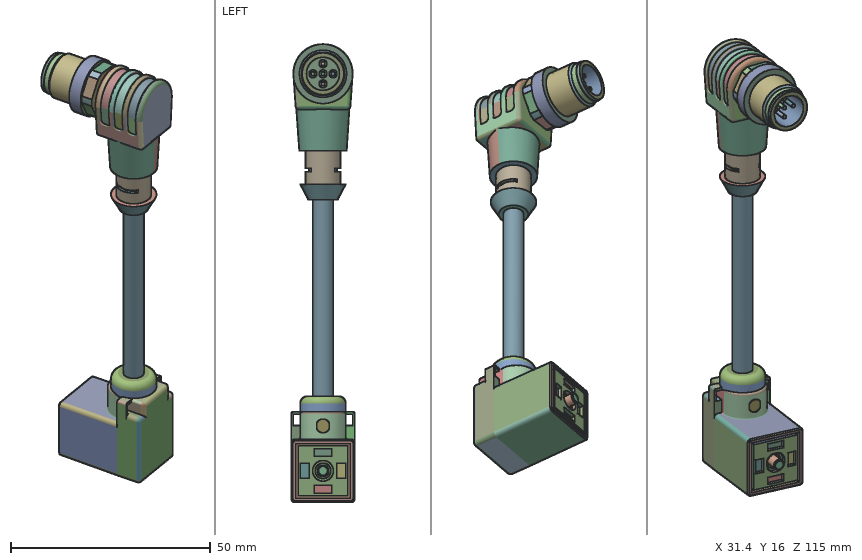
import cadquery as cq
import math


TOTAL_HEIGHT = 115
BACK_X = 7.0
CABLE_D = 5.2
OVERLAP = 1.2

BLOCK_FRONT_X = -17.5
PARTING_X = 0.2
BLOCK_WIDTH = 16.0
BLOCK_HEIGHT = 15.9
SHELL_HEIGHT = 22.8
DRAFT = 0.2
EDGE_R = 1.0
TOP_EDGE_R = 0.6
FACE_EDGE = 0.3
FACE_SIZE = 12.5
SEAL_SIZE = 13.7
SEAL_DEPTH = 1.2
FACE_Z = 7.9

BLADE_OFFSET = 4.6
BLADE_Z_SIZE = (4.5, 2.0)
BLADE_Y_SIZE = (2.2, 3.8)
BLADE_DEPTH = 1.0

SCREW_D = 2.9
SCREW_TIP_D = 2.3
SCREW_TIP_X = -19.3
SCREW_BORE_D = 3.9
SCREW_BORE_DEPTH = 3.5
SCREW_SINK_D = 5.2
SCREW_SINK_DEPTH = 1.2

NOTCH_X = 3.0
NOTCH_FLOOR_Z = 19.3
WINDOW_TOP_Z = 22.1
WINDOW_WALL = 0.6

NECK_D = 11.5
NECK_X = -0.9
NECK_FOOT_R = 0.3
NECK_MARK_D = 3.5
NECK_MARK_Z = 19.2
NECK_MARK_DEPTH = 0.2
CAP_D = 11.5
CAP_TOP_Z = 26.7
CAP_R = 1.8

COLLAR_BOTTOM_Z = 75.9
COLLAR_TOP_Z = 79.8
COLLAR_BOTTOM_D = 7.4
COLLAR_TOP_D = 11.5
STEM_D = 8.9
STEM_CORE_D = 7.1
GRIP_BOTTOM_Z = 88.2
GRIP_BOTTOM_D = 12.0
GRIP_TOP_WIDTH_X = 13.0
GRIP_TOP_WIDTH_Y = 13.6
STEM_SLOT_Z = 83.4
STEM_SLOT_HEIGHT = 0.8
STEM_SLOT_WIDTH = 6.7

HOUSING_R = 7.5
PLUG_Z = TOTAL_HEIGHT - HOUSING_R
HOUSING_FRONT_X = -BACK_X
HOUSING_BOTTOM_Z = 98.5
HOUSING_BOTTOM_WIDTH = 13.7
HOUSING_EDGE_R = 0.9
GROOVE_WIDTH = 2.6
GROOVE_PITCH = 4.0
GROOVE_DEPTH = 0.6
GROOVE_BOTTOM_Z = 102.7
GROOVE_CORNER_R = 0.9
GROOVE_LIP_R = 0.2

PLUG_TIP_X = -24.4
TIP_D = 10.5
TIP_END_X = -23.5
LIP_D = 10.8
LIP_END_X = -22.0
SLEEVE_D = 11.8
SLEEVE_START_X = -21.4
FLANGE_START_X = -14.5
FLANGE_D = 15
NUT_START_X = -11.0
NUT_END_X = -8
NUT_D = 14.0
NUT_FLATS = 13.0
NUT_TURN = 3
PLUG_NECK_D = 8.7
BORE_D = 8.3
BORE_DEPTH = 9.2
PIN_D = 1.0
PIN_SLEEVE_D = 2.0
PIN_SLEEVE_LENGTH = 0.6
PIN_CIRCLE_R = 2.5
PIN_LENGTH = 6.9


def box(x0, x1, y0, y1, z0, z1):
    return cq.Workplane("XY").box(x1 - x0, y1 - y0, z1 - z0, centered=False).translate((x0, y0, z0))


def cylinder_x(diameter, x0, x1, y=0.0, z=0.0):
    return cq.Workplane("YZ", origin=(x0, y, z)).circle(diameter / 2).extrude(x1 - x0)


def cylinder_z(diameter, z0, z1, x=0.0):
    return cq.Workplane("XY", origin=(x, 0, z0)).circle(diameter / 2).extrude(z1 - z0)


def drafted_prism(height, length):
    """Rectangle of the valve connector at the parting plane, drawn out along X and narrowing."""
    sketch = cq.Workplane("YZ", origin=(PARTING_X, 0, height / 2)).rect(BLOCK_WIDTH, height)
    return sketch.extrude(length, taper=DRAFT)


def valve_block():
    block = drafted_prism(BLOCK_HEIGHT, BLOCK_FRONT_X - PARTING_X)
    block = block.edges("not(<X or >X)").fillet(EDGE_R)
    return block.faces("<X").chamfer(FACE_EDGE)


def back_shell():
    shell = drafted_prism(SHELL_HEIGHT, BACK_X - PARTING_X)
    outer_y = BLOCK_WIDTH / 2
    inner_y = NECK_D / 2
    for side in (-1, 1):
        near, far = sorted((side * inner_y, side * (outer_y + OVERLAP)))
        shell = shell.cut(box(NOTCH_X, BACK_X + OVERLAP, near, far, NOTCH_FLOOR_Z, SHELL_HEIGHT + OVERLAP))
    upper_z = (NOTCH_FLOOR_Z + SHELL_HEIGHT) / 2
    outer_edges = shell.edges("not(#X)").filter(
        lambda edge: edge.Center().z < upper_z and abs(edge.Center().y) > inner_y + EDGE_R
    )
    shell = shell.newObject(outer_edges.vals()).fillet(EDGE_R)
    top_edges = shell.edges("not(#X)").filter(lambda edge: edge.Center().z > upper_z)
    shell = shell.newObject(top_edges.vals()).fillet(TOP_EDGE_R)
    shell = shell.faces(">X").edges().fillet(EDGE_R)
    for side in (-1, 1):
        near, far = sorted((side * inner_y, side * (outer_y - WINDOW_WALL)))
        window = box(PARTING_X - OVERLAP, NOTCH_X, near, far, NOTCH_FLOOR_Z, WINDOW_TOP_Z)
        shell = shell.cut(window)
    return shell


def valve_neck():
    base_z = BLOCK_HEIGHT / 2
    neck = cylinder_z(NECK_D, base_z, SHELL_HEIGHT, NECK_X)
    neck = neck.union(box(NECK_X, PARTING_X, -NECK_D / 2, NECK_D / 2, base_z, SHELL_HEIGHT))
    neck = neck.intersect(box(-CAP_D, PARTING_X, -CAP_D, CAP_D, base_z, SHELL_HEIGHT))
    neck = neck.faces(">Z").edges("not >X").fillet(TOP_EDGE_R)
    front_x = NECK_X - NECK_D / 2
    mark = cylinder_x(NECK_MARK_D, front_x - OVERLAP, front_x + NECK_MARK_DEPTH, 0, NECK_MARK_Z)
    cap = cylinder_z(CAP_D, base_z, CAP_TOP_Z).faces(">Z").edges().fillet(CAP_R)
    return neck.cut(mark).union(cap)


def valve_body():
    body = valve_block().union(back_shell()).union(valve_neck())
    foot = body.edges().filter(
        lambda edge: abs(edge.Center().z - BLOCK_HEIGHT) < NECK_FOOT_R
        and edge.BoundingBox().xmin > NECK_X - NECK_D / 2 - NECK_FOOT_R
        and abs(edge.Center().y) < NECK_D / 2 + NECK_FOOT_R
        and edge.Center().x < PARTING_X - NECK_FOOT_R
    )
    return body.newObject(foot.vals()).fillet(NECK_FOOT_R)


def cut_contact_face(body):
    """Square seal groove, four blade slots and the central screw in the front face."""
    face = cq.Workplane("YZ", origin=(BLOCK_FRONT_X, 0, FACE_Z))
    seal_groove = face.rect(SEAL_SIZE, SEAL_SIZE).rect(FACE_SIZE, FACE_SIZE).extrude(SEAL_DEPTH)
    body = body.cut(seal_groove)
    upright = face.pushPoints([(0, -BLADE_OFFSET), (0, BLADE_OFFSET)])
    body = body.cut(upright.rect(*BLADE_Z_SIZE).extrude(BLADE_DEPTH))
    sideways = face.pushPoints([(-BLADE_OFFSET, 0), (BLADE_OFFSET, 0)])
    body = body.cut(sideways.rect(*BLADE_Y_SIZE).extrude(BLADE_DEPTH))
    body = body.cut(face.circle(SCREW_SINK_D / 2).extrude(SCREW_SINK_DEPTH))
    body = body.cut(face.circle(SCREW_BORE_D / 2).extrude(SCREW_BORE_DEPTH))
    screw = cylinder_x(SCREW_D, SCREW_TIP_X, BLOCK_FRONT_X + SCREW_BORE_DEPTH, 0, FACE_Z)
    screw = screw.faces("<X").chamfer((SCREW_D - SCREW_TIP_D) / 2)
    return body.union(screw)


def strain_relief():
    collar = cq.Workplane("XY", origin=(0, 0, COLLAR_BOTTOM_Z)).circle(COLLAR_BOTTOM_D / 2)
    collar = collar.workplane(offset=COLLAR_TOP_Z - COLLAR_BOTTOM_Z).circle(COLLAR_TOP_D / 2).loft(ruled=True)
    stem = cylinder_z(STEM_D, COLLAR_TOP_Z, GRIP_BOTTOM_Z)
    half_width = STEM_SLOT_WIDTH / 2
    slot_floor_y = math.sqrt((STEM_D / 2) ** 2 - half_width ** 2)
    slot_bottom = STEM_SLOT_Z - STEM_SLOT_HEIGHT / 2
    slot_top = STEM_SLOT_Z + STEM_SLOT_HEIGHT / 2
    for near, far in ((-STEM_D, -slot_floor_y), (slot_floor_y, STEM_D)):
        stem = stem.cut(box(-half_width, half_width, near, far, slot_bottom, slot_top))
    core = cylinder_z(STEM_CORE_D, COLLAR_TOP_Z, GRIP_BOTTOM_Z)
    grip_height = HOUSING_BOTTOM_Z + HOUSING_EDGE_R - GRIP_BOTTOM_Z
    grip = cq.Workplane("XY", origin=(0, 0, GRIP_BOTTOM_Z)).circle(GRIP_BOTTOM_D / 2)
    grip = grip.workplane(offset=grip_height).ellipse(GRIP_TOP_WIDTH_X / 2, GRIP_TOP_WIDTH_Y / 2)
    grip = grip.loft(ruled=True)
    return collar.union(stem).union(core).union(grip)


def housing_prism(inset):
    """Round-topped housing section, shrunk by inset at its top and sides."""
    radius = HOUSING_R - inset
    foot_y = HOUSING_BOTTOM_WIDTH / 2 - inset
    sketch = cq.Workplane("YZ", origin=(HOUSING_FRONT_X, 0, 0)).moveTo(-foot_y, HOUSING_BOTTOM_Z)
    sketch = sketch.lineTo(foot_y, HOUSING_BOTTOM_Z).lineTo(radius, PLUG_Z)
    sketch = sketch.threePointArc((0, PLUG_Z + radius), (-radius, PLUG_Z)).close()
    return sketch.extrude(BACK_X - HOUSING_FRONT_X)


def plug_housing():
    housing = housing_prism(0).faces("<X or >X or <Z").edges().fillet(HOUSING_EDGE_R)
    core = housing_prism(GROOVE_DEPTH)
    half_width = GROOVE_WIDTH / 2
    for index in (-1, 0, 1):
        x = index * GROOVE_PITCH
        x0, x1 = x - half_width, x + half_width
        groove = box(x0, x1, -FLANGE_D, FLANGE_D, GROOVE_BOTTOM_Z, TOTAL_HEIGHT + OVERLAP)
        groove = groove.faces("<Z").edges("|Y").fillet(GROOVE_CORNER_R)
        housing = housing.cut(groove.cut(core))
    skin_limit = housing_prism(GROOVE_DEPTH / 4).val()
    grooves_end_x = GROOVE_PITCH + half_width + GROOVE_LIP_R
    lips = housing.edges().filter(
        lambda edge: abs(edge.Center().x) < grooves_end_x
        and edge.BoundingBox().zmin > GROOVE_BOTTOM_Z - GROOVE_LIP_R
        and abs(edge.Center().z - PLUG_Z) > GROOVE_LIP_R
        and not skin_limit.isInside(edge.positionAt(0.5))
    )
    return housing.newObject(lips.vals()).fillet(GROOVE_LIP_R)


def plug_shell():
    profile = [
        (PLUG_TIP_X, 0),
        (PLUG_TIP_X, TIP_D / 2),
        (TIP_END_X, TIP_D / 2),
        (TIP_END_X, LIP_D / 2),
        (LIP_END_X, LIP_D / 2),
        (SLEEVE_START_X, SLEEVE_D / 2),
        (FLANGE_START_X, SLEEVE_D / 2),
        (FLANGE_START_X, FLANGE_D / 2),
        (NUT_START_X, FLANGE_D / 2),
        (NUT_START_X, PLUG_NECK_D / 2),
        (0, PLUG_NECK_D / 2),
        (0, 0),
    ]
    shell = cq.Workplane("XZ").polyline(profile).close().revolve(360, (0, 0, 0), (1, 0, 0))
    hexagon = cq.Workplane("YZ", origin=(NUT_START_X, 0, 0))
    hexagon = hexagon.polygon(6, NUT_FLATS / math.cos(math.pi / 6)).extrude(NUT_END_X - NUT_START_X)
    hexagon = hexagon.rotate((0, 0, 0), (1, 0, 0), -NUT_TURN)
    nut = hexagon.intersect(cylinder_x(NUT_D, NUT_START_X, NUT_END_X))
    bore_end_x = PLUG_TIP_X + BORE_DEPTH
    shell = shell.union(nut).cut(cylinder_x(BORE_D, PLUG_TIP_X, bore_end_x))
    r = PIN_CIRCLE_R
    for y, z in ((0, 0), (r, 0), (-r, 0), (0, r), (0, -r)):
        sleeve = cylinder_x(PIN_SLEEVE_D, bore_end_x - PIN_SLEEVE_LENGTH, bore_end_x + OVERLAP, y, z)
        pin = cylinder_x(PIN_D, bore_end_x - PIN_LENGTH, bore_end_x + OVERLAP, y, z)
        shell = shell.union(sleeve).union(pin)
    return shell.translate((0, 0, PLUG_Z))


valve_connector = cut_contact_face(valve_body())
cable = cylinder_z(CABLE_D, SHELL_HEIGHT, STEM_SLOT_Z)
plug = plug_housing().union(plug_shell()).union(strain_relief())
result = valve_connector.union(cable).union(plug)